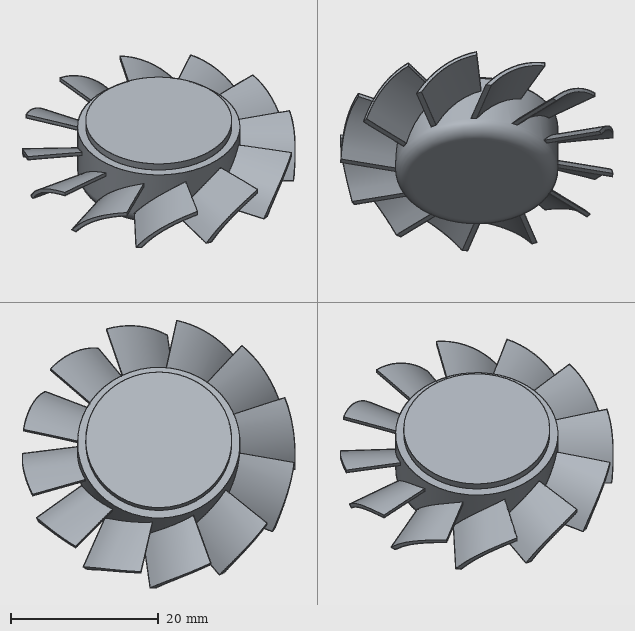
import cadquery as cq

hub_diameter = 22.0
cap_diameter = 19.8
total_height = 10.0
shoulder_height = 8.95
hub_bottom_round = 2.0

blade_count = 12
tip_radius = 18.5
root_depth = 1.1
blade_bottom = 2.1
blade_top = 7.75
leading_x = -3.62
foot_width = 0.75
upper_middle = (-0.78, 5.05)
lower_middle = (0.0, 5.0)
trailing_x_root = 3.35
trailing_x_tip = 4.75
tip_edge_thickness = 0.55

hub_radius = hub_diameter / 2
root_radius = hub_radius - root_depth


def make_hub():
    body = cq.Workplane("XY").circle(hub_radius).extrude(shoulder_height)
    body = body.faces("<Z").edges().fillet(hub_bottom_round)
    cap = (
        cq.Workplane("XY", origin=(0, 0, shoulder_height))
        .circle(cap_diameter / 2)
        .extrude(total_height - shoulder_height)
    )
    return body.union(cap)


def make_blade():
    """One curved blade pointing along -Y, trimmed at its high edge and its tip."""
    sheet = (
        cq.Workplane("XZ", origin=(0, -root_radius, 0))
        .moveTo(leading_x, blade_bottom)
        .threePointArc(upper_middle, (trailing_x_tip, blade_top))
        .lineTo(trailing_x_tip, blade_top - tip_edge_thickness)
        .threePointArc(lower_middle, (leading_x + foot_width, blade_bottom))
        .close()
        .extrude(tip_radius - root_radius)
    )

    trailing_y_root = -(hub_radius**2 - trailing_x_root**2) ** 0.5
    trailing_y_tip = -(tip_radius**2 - trailing_x_tip**2) ** 0.5
    flare = (trailing_x_tip - trailing_x_root) / (trailing_y_root - trailing_y_tip)
    trailing_x_center = trailing_x_root + flare * trailing_y_root
    trailing_x_outer = trailing_x_center + flare * tip_radius
    plan = (
        cq.Workplane("XY")
        .polyline([
            (leading_x, 0),
            (trailing_x_center, 0),
            (trailing_x_outer, -tip_radius),
            (leading_x, -tip_radius),
        ])
        .close()
        .extrude(total_height)
    )
    tip_cylinder = cq.Workplane("XY").circle(tip_radius).extrude(total_height)
    return sheet.intersect(plan).intersect(tip_cylinder)


result = make_hub()
blade = make_blade()
for index in range(blade_count):
    result = result.union(blade.rotate((0, 0, 0), (0, 0, 1), index * 360 / blade_count))